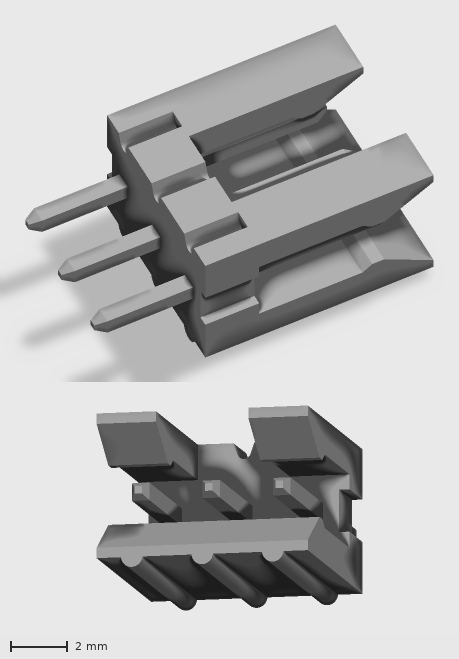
import cadquery as cq
import math


housing_width = 7.62
housing_length = 9.03
housing_height = 5.18
base_depth = 2.13
prong_thickness = 1.27

barb_height = 0.26
barb_lead_length = 1.95
barb_flat_end = 2.43
barb_heel_end = 2.81
tip_thickness = 0.37

window_width = 3.33
notch_depth = 0.37
notch_height = 1.52
notch_center_z = 0.03

pin_count = 3
pin_pitch = 2.55
pin_size = 0.63
pin_tip_size = 0.27
pin_taper_length = 0.44
tail_length = 3.82
contact_length = 7.97

groove_half_width = 0.37
groove_depth = 0.58
groove_radius = 0.25
rib_half_width = 0.39
rib_height = 0.36

half_width = housing_width / 2
top_z = housing_height / 2
prong_inner_z = top_z - prong_thickness
pin_positions = [(i - (pin_count - 1) / 2) * pin_pitch for i in range(pin_count)]


def extrude_along_y(outline, start_y, end_y):
    """Extrude a closed XZ outline, drawn on the XZ plane, from start_y to end_y."""
    return outline.extrude(start_y - end_y).translate((0, start_y, 0))


def make_housing():
    """U-shaped side profile with a barb on each prong, extruded across the full width."""
    barb_z = prong_inner_z - barb_height
    upper_inner_edge = [
        (housing_length, top_z - tip_thickness),
        (housing_length - barb_lead_length, barb_z),
        (housing_length - barb_flat_end, barb_z),
        (housing_length - barb_heel_end, prong_inner_z),
        (base_depth, prong_inner_z),
    ]
    lower_inner_edge = [(y, -z) for y, z in reversed(upper_inner_edge)]
    outer_start = [(0, top_z), (housing_length, top_z)]
    outer_end = [(housing_length, -top_z), (0, -top_z)]
    profile = outer_start + upper_inner_edge + lower_inner_edge + outer_end
    return cq.Workplane("YZ").polyline(profile).close().extrude(half_width, both=True)


def make_window():
    """Opening that splits the upper prong in two."""
    window_length = housing_length - base_depth
    return (
        cq.Workplane("XY")
        .box(window_width, window_length, top_z, centered=(True, False, False))
        .translate((0, base_depth, 0))
    )


def make_notch(side):
    """Notch in one side of the base, side being -1 or +1."""
    return (
        cq.Workplane("XY")
        .box(2 * notch_depth, base_depth, notch_height, centered=(True, False, True))
        .translate((side * half_width, 0, notch_center_z))
    )


def make_groove(x):
    """V groove whose straight walls run tangent into a round bottom."""
    center_depth = groove_depth - groove_radius
    edge_distance = math.hypot(groove_half_width, center_depth)
    edge_angle = math.atan2(center_depth, groove_half_width)
    tangent_angle = edge_angle - math.acos(groove_radius / edge_distance)
    tangent_x = groove_radius * math.cos(tangent_angle)
    tangent_z = top_z - center_depth + groove_radius * math.sin(tangent_angle)
    outline = (
        cq.Workplane("XZ")
        .moveTo(x - groove_half_width, top_z)
        .lineTo(x - tangent_x, tangent_z)
        .threePointArc((x, top_z - groove_depth), (x + tangent_x, tangent_z))
        .lineTo(x + groove_half_width, top_z)
        .close()
    )
    return extrude_along_y(outline, 0, base_depth)


def make_rib(x):
    """Rounded rib along the full length of the lower face."""
    outline = (
        cq.Workplane("XZ")
        .moveTo(x - rib_half_width, -top_z)
        .threePointArc((x, -top_z - rib_height), (x + rib_half_width, -top_z))
        .close()
    )
    return extrude_along_y(outline, 0, housing_length)


def make_pin_tip(x, root_y, end_y):
    """Pyramid-shaped pin end that narrows from root_y to end_y."""
    return (
        cq.Workplane("XZ", origin=(x, root_y, 0))
        .rect(pin_size, pin_size)
        .workplane(offset=root_y - end_y)
        .rect(pin_tip_size, pin_tip_size)
        .loft(ruled=True)
    )


def make_pin(x):
    """Square pin through the base, tapered at both ends."""
    tail_root = pin_taper_length - tail_length
    contact_root = contact_length - pin_taper_length
    shank_outline = cq.Workplane("XZ").center(x, 0).rect(pin_size, pin_size)
    shank = extrude_along_y(shank_outline, tail_root, contact_root)
    tail_tip = make_pin_tip(x, tail_root, -tail_length)
    contact_tip = make_pin_tip(x, contact_root, contact_length)
    return shank.union(tail_tip).union(contact_tip)


result = make_housing().cut(make_window())
for side in (-1, 1):
    result = result.cut(make_notch(side))
for pin_x in pin_positions:
    result = result.cut(make_groove(pin_x))
    result = result.union(make_rib(pin_x))
    result = result.union(make_pin(pin_x))